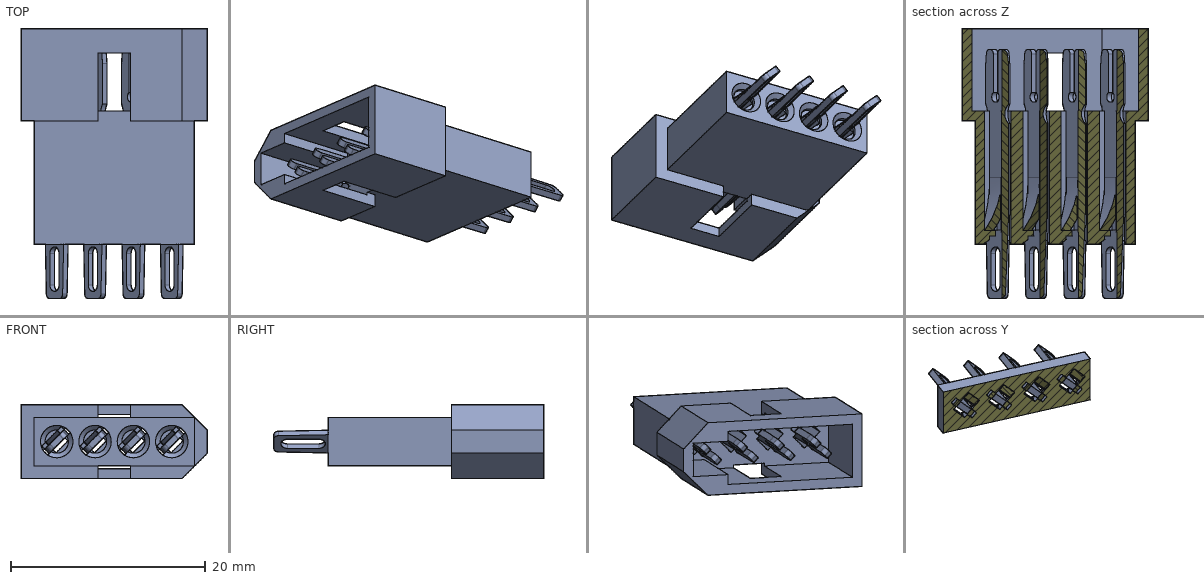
import cadquery as cq
import math


body_width = 16.5
body_height = 5.0
body_length = 12.7
head_width = 19.2
head_height = 7.62
head_length = 9.51
head_chamfer = 2.62
head_wall = 1.03
cavity_step = 1.03
cavity_step_x = 4.8
window_width = 3.3
window_end_wall = 2.53
housing_length = body_length + head_length
cavity_floor = body_length + head_wall

pin_count = 4
pin_pitch = 3.95
pin_angle = -45
mouth_radius = 1.67
mouth_floor_radius = 1.2
mouth_chamfer = mouth_radius - mouth_floor_radius
mouth_depth = 0.83
slot_width = 3.28
opening_width = 1.72
opening_height = 1.53
recess_width = 2.85
recess_depth = 1.25

pin_thickness = 0.67
tail_length = 27.82 - housing_length
tail_tip_width = 2.36
tail_root_width = 2.67
tail_corner_radius = 0.5
eyelet_width = 1.3
eyelet_length = 4.55
eyelet_end_wall = 0.75
blade_width = 2.85
blade_taper_start = 18.65
blade_tip = 20.09
blade_tip_width = 2.55
tine_corner_radius = 0.47
fork_hole_diameter = 1.08
fork_hole_y = 15.2
fork_gap = 0.6
neck_y = 13.45
neck_length = 2.0
neck_depth = 0.28

tongue_width = 1.67
tongue_bend_radius = 12.52
tongue_bend_angle = 25.5
tongue_end_gap = 0.22
tongue_tip_y = recess_depth + tongue_end_gap
tongue_length = tongue_bend_radius * math.sin(math.radians(tongue_bend_angle))
tongue_root_y = tongue_tip_y + tongue_length
tongue_rise = tongue_bend_radius * (1 - math.cos(math.radians(tongue_bend_angle)))
chamber_top = pin_thickness / 2 + tongue_rise


def block(width, y_start, y_end, z_bottom, z_top):
    """Box centred on X between two Y positions and two Z positions."""
    size = (width, y_end - y_start, z_top - z_bottom)
    return cq.Workplane("XY").box(*size, centered=(True, False, False)).translate((0, y_start, z_bottom))


def make_head():
    """Solid head, with the two long edges on its +X side chamfered."""
    half_height = head_height / 2
    head = block(head_width, body_length, housing_length, -half_height, half_height)
    return head.edges("|Y and >X").chamfer(head_chamfer)


def make_cavity():
    """Open-ended space in the head, lower beyond a step so that its +X end clears the chamfers."""
    half_width = head_width / 2 - head_wall
    half_height = head_height / 2 - head_wall
    half_low = half_height - cavity_step
    full = block(2 * half_width, cavity_floor, housing_length, -half_low, half_low)
    tall_width = half_width + cavity_step_x
    tall = block(tall_width, cavity_floor, housing_length, -half_height, half_height)
    return full.union(tall.translate((tall_width / 2 - half_width, 0, 0)))


def place(shape, index):
    """Turn a shape built flat about the Y axis and move it to a contact position."""
    x = (index - (pin_count - 1) / 2) * pin_pitch
    return shape.rotate((0, 0, 0), (0, 1, 0), pin_angle).translate((x, 0, 0))


def make_passage():
    """Space removed from the housing for one contact, lying flat."""
    half_thickness = pin_thickness / 2
    half_opening = opening_height / 2
    mouth_profile = [
        (0, 0),
        (mouth_radius, 0),
        (mouth_floor_radius, mouth_chamfer),
        (mouth_floor_radius, mouth_depth),
        (0, mouth_depth),
    ]
    mouth = cq.Workplane("XY").polyline(mouth_profile).close().revolve(360, (0, 0, 0), (0, 1, 0))
    slot = block(slot_width, 0, cavity_floor, -half_thickness, half_thickness)
    opening = block(opening_width, 0, cavity_floor, -half_opening, half_opening)
    recess = block(recess_width, 0, recess_depth, 0, half_opening)
    chamber = block(opening_width, tongue_tip_y, cavity_floor, 0, chamber_top)
    return mouth.union(slot).union(opening).union(recess).union(chamber)


def make_housing():
    """Body and open-ended shroud, with latch windows and contact passages."""
    body = block(body_width, 0, cavity_floor, -body_height / 2, body_height / 2)
    head = make_head()
    cavity = make_cavity()
    window_end = housing_length - window_end_wall
    window = block(window_width, body_length, window_end, -head_height / 2, head_height / 2)
    housing = head.cut(cavity).cut(window).union(body)
    passage = make_passage()
    for index in range(pin_count):
        housing = housing.cut(place(passage, index))
    return housing


def make_pin_outline():
    """Flat contact: tapered tail, straight middle, necked blade with a tapered tip."""
    half_blade = blade_width / 2
    tail_slope = (tail_root_width - tail_tip_width) / tail_length
    tail_end_y = (blade_width - tail_root_width) / tail_slope
    neck_start = neck_y - neck_length / 2
    neck_end = neck_y + neck_length / 2
    half_neck = half_blade - neck_depth
    outline = (
        cq.Workplane("XY", origin=(0, 0, -pin_thickness / 2))
        .moveTo(-tail_tip_width / 2, -tail_length)
        .lineTo(tail_tip_width / 2, -tail_length)
        .lineTo(half_blade, tail_end_y)
        .lineTo(half_blade, neck_start)
        .threePointArc((half_neck, neck_y), (half_blade, neck_end))
        .lineTo(half_blade, blade_taper_start)
        .lineTo(blade_tip_width / 2, blade_tip)
        .lineTo(-blade_tip_width / 2, blade_tip)
        .lineTo(-half_blade, blade_taper_start)
        .lineTo(-half_blade, neck_end)
        .threePointArc((-half_neck, neck_y), (-half_blade, neck_start))
        .lineTo(-half_blade, tail_end_y)
        .close()
        .extrude(pin_thickness)
    )
    return outline.edges("|Z and <Y").fillet(tail_corner_radius)


def make_tongue():
    """Tongue curving out of the contact from its root towards its free end."""
    bottom = -pin_thickness / 2
    top = pin_thickness / 2
    end_angle = math.radians(tongue_bend_angle)
    middle_y = tongue_root_y - tongue_bend_radius * math.sin(end_angle / 2)
    middle_rise = tongue_bend_radius * (1 - math.cos(end_angle / 2))
    return (
        cq.Workplane("YZ", origin=(-tongue_width / 2, 0, 0))
        .moveTo(tongue_root_y, bottom)
        .threePointArc((middle_y, bottom + middle_rise), (tongue_tip_y, bottom + tongue_rise))
        .lineTo(tongue_tip_y, top + tongue_rise)
        .threePointArc((middle_y, top + middle_rise), (tongue_root_y, top))
        .close()
        .extrude(tongue_width)
    )


def make_pin():
    """One contact with its solder eyelet, latch tongue and forked blade, lying flat."""
    half_thickness = pin_thickness / 2
    eyelet_y = eyelet_end_wall + eyelet_length / 2 - tail_length
    eyelet = (
        cq.Workplane("XY", origin=(0, eyelet_y, -half_thickness))
        .slot2D(eyelet_length, eyelet_width, 90)
        .extrude(pin_thickness)
    )
    fork_hole = (
        cq.Workplane("XY", origin=(0, fork_hole_y, -half_thickness))
        .circle(fork_hole_diameter / 2)
        .extrude(pin_thickness)
    )
    fork_slit = block(fork_gap, fork_hole_y, blade_tip, -half_thickness, half_thickness)
    fork = make_pin_outline().cut(fork_hole).cut(fork_slit)
    rounded_fork = fork.edges("|Z and >Y").fillet(tine_corner_radius)
    tongue_gap = block(tongue_width, tongue_tip_y, tongue_root_y, -half_thickness, half_thickness)
    return rounded_fork.cut(eyelet).cut(tongue_gap).union(make_tongue())


housing = make_housing()
pin = make_pin()
pins = [place(pin, index) for index in range(pin_count)]
result = cq.Compound.makeCompound([housing.val(), *[placed.val() for placed in pins]])